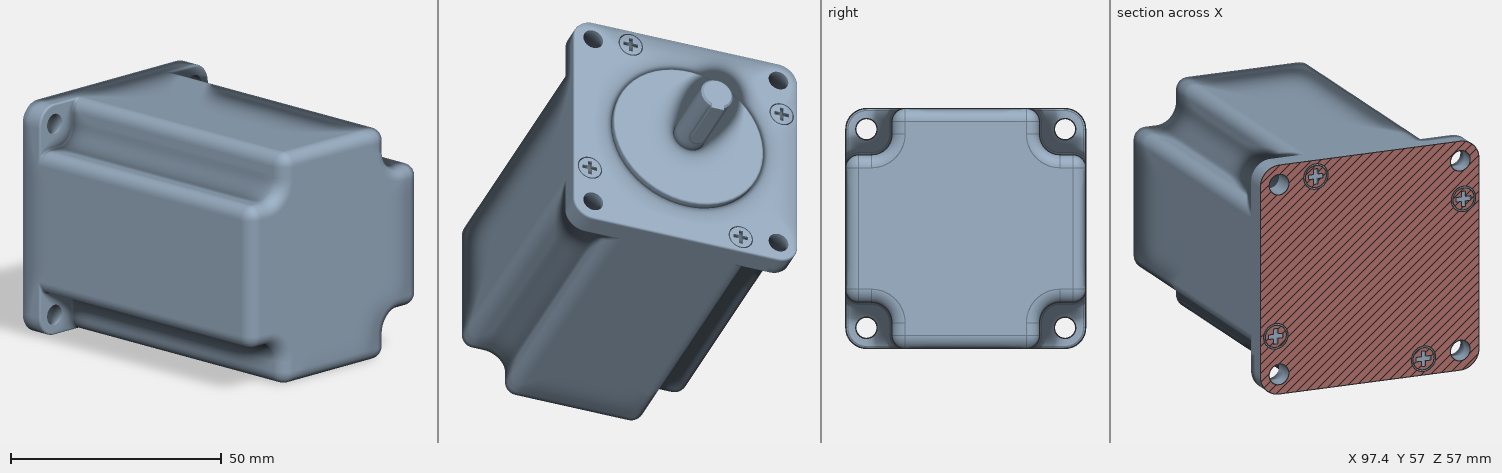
import cadquery as cq
import math


frame_size = 57.0
overall_length = 97.4
shaft_length = 21.0
motor_length = overall_length - shaft_length
half_frame = frame_size / 2

flange_thickness = 6.0
flange_corner_radius = 5.0
flange_edge_radius = 0.5
mounting_hole_diameter = 5.0
mounting_hole_pitch = 47.14

notch_lip = 14.4
body_edge_radius = 3.1
notch_wall = notch_lip + body_edge_radius
notch_arc_radius = 4.9
notch_root_radius = 0.5

pilot_diameter = 38.1
pilot_height = 2.0
pilot_edge_radius = 0.5

shaft_diameter = 8.0
shaft_chamfer = 0.5
key_length = 15.0
key_width = 3.2
key_reach = 4.5

screw_offset_near = 14.0
screw_offset_far = 24.4
screw_seat_diameter = 6.2
screw_head_diameter = 5.6
screw_seat_depth = 1.0
cross_length = 3.7
cross_width = 1.0
cross_depth = 1.0

QUARTER_TURNS = 4


def plane_at(x):
    """Plane across the shaft axis: local x is Y, local y is Z, normal is +X."""
    return cq.Workplane("YZ", origin=(x, 0, 0))


def make_flange_block():
    """Square block with rounded corners and rounded front and rear rims."""
    block = plane_at(0).rect(frame_size, frame_size).extrude(flange_thickness)
    block = block.edges("|X").fillet(flange_corner_radius)
    return block.faces("<X or >X").edges().fillet(flange_edge_radius)


def body_outline(start_x):
    """Cross-shaped outline of the body, with a hollow arc in each corner."""
    arc_centre = notch_wall + notch_arc_radius
    arc_middle = arc_centre - notch_arc_radius * math.sqrt(0.5)
    lip_centre = half_frame - body_edge_radius
    lip_middle = body_edge_radius * math.sqrt(0.5)

    def corner_points(quarter_turns):
        """Points of one corner, turned about the shaft axis."""
        points = [
            (half_frame, notch_lip),
            (lip_centre + lip_middle, notch_lip + lip_middle),
            (lip_centre, notch_wall),
            (arc_centre, notch_wall),
            (arc_middle, arc_middle),
            (notch_wall, arc_centre),
            (notch_wall, lip_centre),
            (notch_lip + lip_middle, lip_centre + lip_middle),
            (notch_lip, half_frame),
        ]
        for _ in range(quarter_turns):
            points = [(-v, u) for u, v in points]
        return points

    outline = plane_at(start_x).moveTo(half_frame, -notch_lip)
    for quarter_turns in range(QUARTER_TURNS):
        p = corner_points(quarter_turns)
        outline = outline.lineTo(*p[0]).threePointArc(p[1], p[2])
        outline = outline.lineTo(*p[3]).threePointArc(p[4], p[5])
        outline = outline.lineTo(*p[6]).threePointArc(p[7], p[8])
    return outline.close()


def make_body():
    """Body with its rear rim rounded; it starts inside the flange, clear of the flange's front rim."""
    start_x = flange_thickness / 2
    body = body_outline(start_x).extrude(motor_length - start_x)
    return body.faces(">X").edges().fillet(body_edge_radius)


def round_notch_roots(motor):
    """Fillet the edges where the notches run into the back face of the flange."""
    lip_corner_distance = math.hypot(half_frame, notch_wall)

    def is_on_notch(edge):
        centre = edge.Center()
        return math.hypot(centre.y, centre.z) < lip_corner_distance

    back_edges = motor.faces(">X[-2]").edges()
    return back_edges.filter(is_on_notch).fillet(notch_root_radius)


def make_pilot():
    pilot = plane_at(0).circle(pilot_diameter / 2).extrude(-pilot_height)
    return pilot.faces("<X").edges().fillet(pilot_edge_radius)


def make_shaft():
    shaft = plane_at(0).circle(shaft_diameter / 2).extrude(-shaft_length)
    return shaft.faces("<X").edges().chamfer(shaft_chamfer)


def make_key():
    """Key on the -Z side of the shaft, square at the shaft tip and round at its inner end."""
    half_width = key_width / 2
    tip_x = -shaft_length
    inner_end_x = tip_x + key_length
    return (
        cq.Workplane("XY")
        .moveTo(tip_x, -half_width)
        .lineTo(inner_end_x - half_width, -half_width)
        .threePointArc((inner_end_x, 0), (inner_end_x - half_width, half_width))
        .lineTo(tip_x, half_width)
        .close()
        .extrude(-key_reach)
    )


def make_mounting_holes():
    holes = plane_at(0).rect(mounting_hole_pitch, mounting_hole_pitch, forConstruction=True).vertices()
    return holes.circle(mounting_hole_diameter / 2).extrude(flange_thickness)


def make_screw_recess():
    """Ring-shaped gap around a screw head, and the cross slot in the head."""
    gap = plane_at(0).circle(screw_seat_diameter / 2).circle(screw_head_diameter / 2)
    gap = gap.extrude(screw_seat_depth)
    slot_along_y = plane_at(0).rect(cross_length, cross_width).extrude(cross_depth)
    slot_along_z = plane_at(0).rect(cross_width, cross_length).extrude(cross_depth)
    return gap.union(slot_along_y).union(slot_along_z)


def make_screw_recesses():
    """The four screws repeat every quarter turn about the shaft axis."""
    recesses = cq.Workplane("YZ")
    y, z = screw_offset_near, screw_offset_far
    for _ in range(QUARTER_TURNS):
        recesses = recesses.union(make_screw_recess().translate((0, y, z)))
        y, z = -z, y
    return recesses


motor = round_notch_roots(make_flange_block().union(make_body()))
motor = motor.union(make_pilot()).union(make_shaft()).union(make_key())
result = motor.cut(make_mounting_holes()).cut(make_screw_recesses())